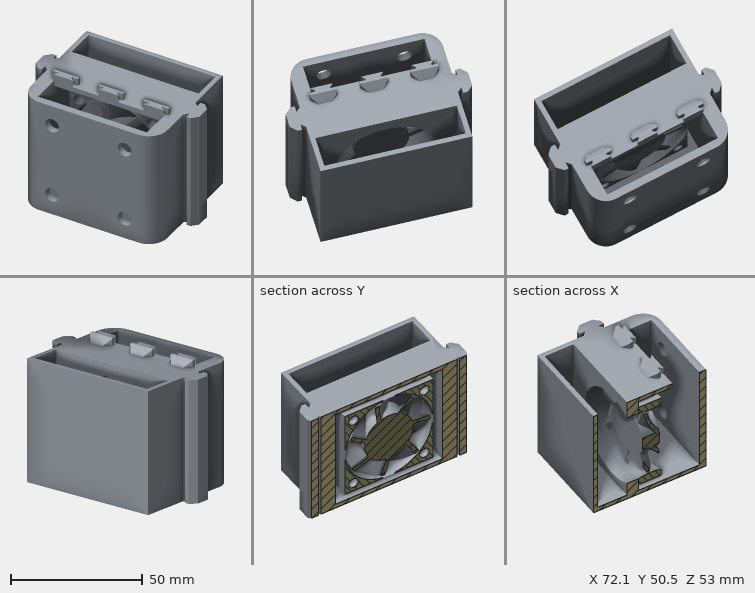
import cadquery as cq
import math

BODY_WIDTH = 60.0
BODY_DEPTH = 50.5
BODY_HEIGHT = 50.0
CORNER_RADIUS = 8.1
FRONT_WALL = 3.0

RAIL_REACH = 6.05
RAIL_HEAD_WIDTH = 10.95
RAIL_TIP_WIDTH = 5.85
RAIL_NECK_WIDTH = 6.0
RAIL_FOOT_WIDTH = 8.8

SIDE_RAIL_Y = 25.0
SIDE_RAIL_FOOT = 0.3
SIDE_RAIL_NECK_START = 1.65
SIDE_RAIL_LIP = 1.8
SIDE_RAIL_HEAD_EDGE = 1.8

HOOK_FOOT = 0.1
HOOK_NECK_START = 1.4
HOOK_LIP = 1.95
HOOK_HEAD_EDGE = 1.45
HOOK_HEIGHT = 3.0
HOOK_PITCH = 20.0

FAN_SIZE = 40.0
FAN_DEPTH = 10.0
FAN_FRONT_Y = 20.05
FAN_BORE_DIAMETER = 38.5
FAN_MOUTH_DIAMETER = 39.65
FAN_MOUTH_DEPTH = FAN_DEPTH / 3
SCREW_PITCH = 32.0
SCREW_HOLE_DIAMETER = 4.2
ACCESS_HOLE_DIAMETER = 6.0

HUB_DIAMETER = 22.0
HUB_FACE_DIAMETER = 21.5
ROTOR_SETBACK = 0.7
ROTOR_DEPTH = 7.9
BLADE_COUNT = 7
BLADE_EDGE_WIDTH = 1.45
BLADE_BEVEL_WIDTH = 1.1
BLADE_BEVEL_DEPTH = 0.6
BLADE_THICKNESS = BLADE_EDGE_WIDTH + BLADE_BEVEL_WIDTH
BLADE_TIP_GAP = 0.5
BLADE_ROOT_OVERLAP = 0.7
BLADE_TWIST = 40.0
BLADE_OFFSET = 3.6
FIRST_BLADE_ANGLE = 46.0

CHAMBER_WIDTH = 48.0
CHAMBER_MOUTH_DEPTH = 12.05
CHAMBER_ROOF = 2.15
FLOOR = CHAMBER_ROOF
HOOK_FACE_Y = FRONT_WALL + CHAMBER_MOUTH_DEPTH

REAR_WALL = 2.0
REAR_POCKET_WIDTH = BODY_WIDTH - 2 * REAR_WALL
REAR_POCKET_DEPTH = 13.0
REAR_POCKET_Y = BODY_DEPTH - REAR_WALL - REAR_POCKET_DEPTH

FAN_BACK_Y = FAN_FRONT_Y + FAN_DEPTH
FAN_CENTRE_Z = BODY_HEIGHT / 2
BLADE_TIP_RADIUS = FAN_BORE_DIAMETER / 2 - BLADE_TIP_GAP


def box(width, y_start, y_end, z_start, z_end):
    """Box centred on X = 0 between two Y and two Z positions."""
    return (
        cq.Workplane("XY")
        .box(width, y_end - y_start, z_end - z_start, centered=(True, False, False))
        .translate((0, y_start, z_start))
    )


def rod(diameter, y_start, y_end, x=0.0, z=FAN_CENTRE_Z):
    """Cylinder along Y between two Y positions."""
    solid = cq.Solid.makeCylinder(
        diameter / 2, y_end - y_start, cq.Vector(x, y_start, z), cq.Vector(0, 1, 0)
    )
    return cq.Workplane(obj=solid)


def screw_rods(diameter, y_start, y_end):
    """Four rods on the square screw pattern of the fan."""
    rods = cq.Workplane("XY")
    for x_side in (-1, 1):
        for z_side in (-1, 1):
            x = x_side * SCREW_PITCH / 2
            z = FAN_CENTRE_Z + z_side * SCREW_PITCH / 2
            rods = rods.add(rod(diameter, y_start, y_end, x, z))
    return rods.combine()


def t_rail(foot_edge, neck_start, lip, head_edge, height):
    """Upright T-shaped rail whose foot lies on Y = 0 and whose head points to +Y."""
    foot = RAIL_FOOT_WIDTH / 2
    neck = RAIL_NECK_WIDTH / 2
    head = RAIL_HEAD_WIDTH / 2
    tip = RAIL_TIP_WIDTH / 2
    half = [
        (foot, 0),
        (foot, foot_edge),
        (neck, neck_start),
        (neck, lip),
        (head, lip),
        (head, lip + head_edge),
        (tip, RAIL_REACH),
    ]
    mirrored = [(-x, y) for x, y in reversed(half)]
    return cq.Workplane("XY").polyline(half + mirrored).close().extrude(height)


def side_rail(side):
    """Full-height rail on the -X (side = -1) or +X (side = 1) wall."""
    rail = t_rail(
        SIDE_RAIL_FOOT, SIDE_RAIL_NECK_START, SIDE_RAIL_LIP, SIDE_RAIL_HEAD_EDGE, BODY_HEIGHT
    )
    rail = rail.rotate((0, 0, 0), (0, 0, 1), -90 * side)
    return rail.translate((side * BODY_WIDTH / 2, SIDE_RAIL_Y, 0))


def top_hook():
    """Short T-shaped hook with its head sloped at 45 degrees down to the tip."""
    hook = t_rail(HOOK_FOOT, HOOK_NECK_START, HOOK_LIP, HOOK_HEAD_EDGE, HOOK_HEIGHT)
    slope = (
        cq.Workplane("YZ")
        .polyline(
            [
                (RAIL_REACH, 0),
                (RAIL_REACH, HOOK_HEIGHT),
                (RAIL_REACH - HOOK_HEIGHT, HOOK_HEIGHT),
            ]
        )
        .close()
        .extrude(RAIL_HEAD_WIDTH / 2, both=True)
    )
    return hook.cut(slope)


def make_housing():
    housing = box(BODY_WIDTH, 0, BODY_DEPTH, 0, BODY_HEIGHT)
    housing = housing.edges("|Z and <Y").fillet(CORNER_RADIUS)
    for side in (-1, 1):
        housing = housing.union(side_rail(side))

    chamber_top = BODY_HEIGHT - CHAMBER_ROOF
    housing = housing.cut(box(CHAMBER_WIDTH, FRONT_WALL, FAN_BACK_Y, FLOOR, chamber_top))
    housing = housing.cut(box(CHAMBER_WIDTH, FRONT_WALL, HOOK_FACE_Y, FLOOR, BODY_HEIGHT))
    rear_pocket_end = REAR_POCKET_Y + REAR_POCKET_DEPTH
    housing = housing.cut(box(REAR_POCKET_WIDTH, REAR_POCKET_Y, rear_pocket_end, FLOOR, BODY_HEIGHT))

    housing = housing.cut(rod(FAN_MOUTH_DIAMETER, FAN_BACK_Y, REAR_POCKET_Y))

    housing = housing.cut(screw_rods(ACCESS_HOLE_DIAMETER, 0, FRONT_WALL))

    for position in (-1, 0, 1):
        hook = top_hook().translate((position * HOOK_PITCH, HOOK_FACE_Y, BODY_HEIGHT))
        housing = housing.union(hook)
    return housing


def flared_mouth(y, inward):
    """Cone that widens the bore at a fan face; inward = 1 runs to +Y and -1 to -Y."""
    cone = cq.Solid.makeCone(
        FAN_MOUTH_DIAMETER / 2,
        FAN_BORE_DIAMETER / 2,
        FAN_MOUTH_DEPTH,
        cq.Vector(0, y, FAN_CENTRE_Z),
        cq.Vector(0, inward, 0),
    )
    return cq.Workplane(obj=cone)


def make_fan_frame():
    half = FAN_SIZE / 2
    frame = box(FAN_SIZE, FAN_FRONT_Y, FAN_BACK_Y, FAN_CENTRE_Z - half, FAN_CENTRE_Z + half)
    frame = frame.cut(rod(FAN_BORE_DIAMETER, FAN_FRONT_Y, FAN_BACK_Y))
    frame = frame.cut(flared_mouth(FAN_FRONT_Y, 1)).cut(flared_mouth(FAN_BACK_Y, -1))
    return frame.cut(screw_rods(SCREW_HOLE_DIAMETER, FAN_FRONT_Y, FAN_BACK_Y))


def make_rotor():
    """Hub and blades about +Z with the front face on top, then turned to face -Y."""
    rim = (HUB_DIAMETER - HUB_FACE_DIAMETER) / 2
    rotor = cq.Workplane("XY").circle(HUB_DIAMETER / 2).extrude(-ROTOR_DEPTH).faces(">Z").chamfer(rim)
    root = math.sqrt((HUB_DIAMETER / 2 - BLADE_ROOT_OVERLAP) ** 2 - BLADE_OFFSET**2)
    tip = math.sqrt(BLADE_TIP_RADIUS**2 - BLADE_OFFSET**2)
    blade = (
        cq.Workplane("XY", origin=(0, 0, -rim))
        .moveTo((root + tip) / 2, BLADE_OFFSET - BLADE_BEVEL_WIDTH / 2)
        .rect(tip - root, BLADE_THICKNESS)
        .twistExtrude(-(ROTOR_DEPTH - 2 * rim), BLADE_TWIST)
    )
    blade = blade.faces(">Z").edges("<Y").chamfer(BLADE_BEVEL_DEPTH, BLADE_BEVEL_WIDTH)
    for number in range(BLADE_COUNT):
        angle = FIRST_BLADE_ANGLE + number * 360 / BLADE_COUNT
        rotor = rotor.union(blade.rotate((0, 0, 0), (0, 0, 1), angle))
    rotor = rotor.rotate((0, 0, 0), (1, 0, 0), 90)
    return rotor.translate((0, FAN_FRONT_Y + ROTOR_SETBACK, FAN_CENTRE_Z))


housing = make_housing()
fan_frame = make_fan_frame()
rotor = make_rotor()

result = cq.Compound.makeCompound([housing.val(), fan_frame.val(), rotor.val()])